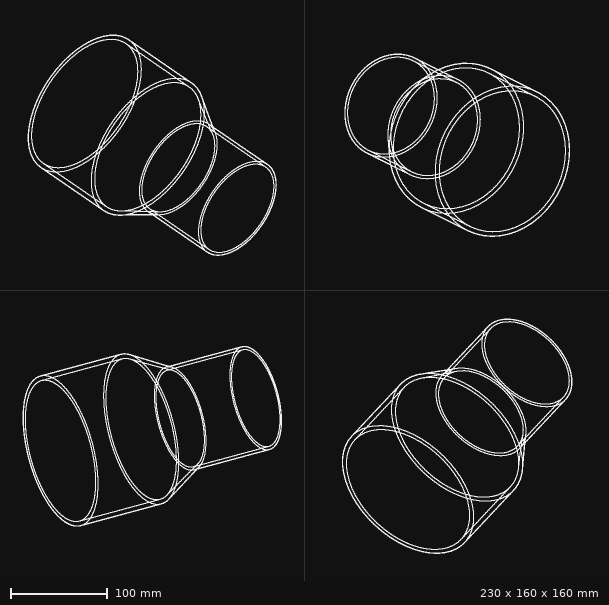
import cadquery as cq

total_length = 230.0
wide_length = 95.0
narrow_length = 89.0
wide_outer_diameter = 160.0
wide_inner_diameter = 150.2
narrow_outer_diameter = 110.0
narrow_inner_diameter = 103.3

cone_end = total_length - narrow_length


def stepped_cone(wide_diameter, narrow_diameter):
    """Solid of revolution: wide cylinder, cone, then narrow cylinder."""
    wide_radius = wide_diameter / 2
    narrow_radius = narrow_diameter / 2
    return (
        cq.Workplane("XY")
        .moveTo(0, 0)
        .lineTo(0, wide_radius)
        .lineTo(wide_length, wide_radius)
        .lineTo(cone_end, narrow_radius)
        .lineTo(total_length, narrow_radius)
        .lineTo(total_length, 0)
        .close()
        .revolve(360, (0, 0, 0), (1, 0, 0))
    )


body = stepped_cone(wide_outer_diameter, narrow_outer_diameter)
bore = stepped_cone(wide_inner_diameter, narrow_inner_diameter)

result = body.cut(bore)